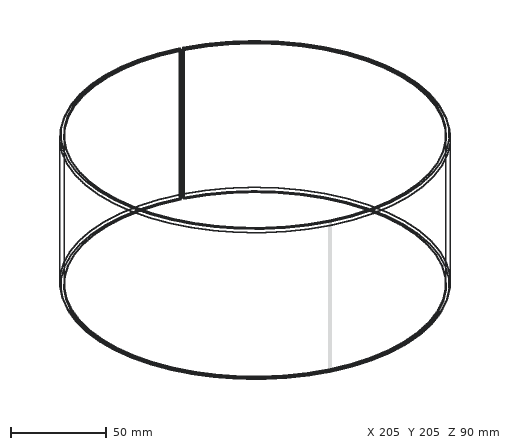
import cadquery as cq

outer_diameter = 205.0
height = 90.0
wall = 2.5
outer_bevel_height = 1.8
outer_bevel_depth = 0.65
inner_chamfer_height = 0.6
inner_chamfer_depth = 0.35
slit_width = 1.75

outer_radius = outer_diameter / 2
inner_radius = outer_radius - wall


def ring():
    """Closed ring about Z, centred on the origin, with both rims bevelled outside and inside."""
    half_height = height / 2
    outer_bevel_start = half_height - outer_bevel_height
    inner_chamfer_start = half_height - inner_chamfer_height
    outer_rim = outer_radius - outer_bevel_depth
    inner_rim = inner_radius + inner_chamfer_depth
    wall_section = (
        cq.Workplane("XZ")
        .moveTo(inner_rim, -half_height)
        .lineTo(outer_rim, -half_height)
        .lineTo(outer_radius, -outer_bevel_start)
        .lineTo(outer_radius, outer_bevel_start)
        .lineTo(outer_rim, half_height)
        .lineTo(inner_rim, half_height)
        .lineTo(inner_radius, inner_chamfer_start)
        .lineTo(inner_radius, -inner_chamfer_start)
        .close()
    )
    return wall_section.revolve(360, (0, 0, 0), (0, 1, 0))


def slit():
    """Full-height cutter through the -X wall, from the XZ plane towards +Y."""
    return (
        cq.Workplane("XY")
        .box(outer_diameter, slit_width, height, centered=(True, False, True))
        .translate((-outer_radius, 0, 0))
    )


result = ring().cut(slit())